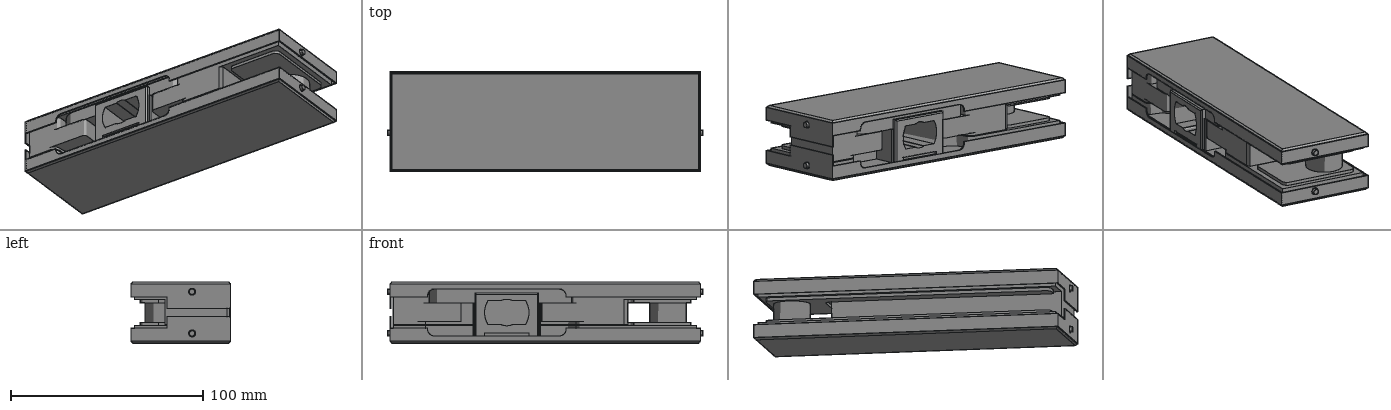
import cadquery as cq

overall_x = 164.2
depth = 52.0
height = 32.0
cover_x = 161.7
half_x = cover_x / 2
half_y = depth / 2
half_z = height / 2

wall = 0.7
cover_chamfer = 1.1
cover_top = cover_chamfer
cover_rim_z = 8.0
end_flap_z = 2.1
end_flap_back_y = 7.2
window_top_z = 12.2
window_left = -61.2
window_right = 10.8
window_radius = 3.5

plate_left = -79.1
plate_right = 78.8
plate_half_y = 24.1
plate_face_z = 6.7
plate_front_y = -plate_half_y
plate_outer_z = half_z - cover_top

block_right = 43.0
block_back_y = 8.2
block_bottom_z = -6.2
block_chamfer_x = 2.0
block_chamfer_y = 1.0

pad_inset = 3.0
pad_left = -75.9
pad_face_z = 5.1
pad_leg_x = 46.0
pad_leg_y = 11.5
pad_outer_radius = 3.1
pad_end_radius = 2.0
pad_inner_radius = 3.0

spacer_diameter = 19.0
spacer_x = 63.9
spacer_y = 9.2

upper_pocket_left = -60.6
upper_pocket_right = 14.0
upper_pocket_back_y = -13.1
upper_pocket_floor_z = 5.1
upper_left_lip_radius = 2.6
upper_right_lip_radius = 2.0
bulge_front_y = -23.5
bulge_left = -60.3
bulge_right = 13.6
bulge_left_radius = 8.2
bulge_right_radius = 5.9

lower_pocket_left = -62.4
lower_pocket_right = 16.1
lower_pocket_floor_z = -12.6
lower_pocket_ceiling_z = -4.8
lower_pocket_back_y = -11.8
lower_corner_radius = 8.2
lower_lip_radius = 3.8

recess_left = -43.8
recess_right = -2.0
recess_lip_radius = 2.0

housing_x = -20.0
housing_width = 35.1
faceplate_width = 33.2
faceplate_top_z = 10.2
faceplate_front_y = -26.0
faceplate_chamfer = 0.7
housing_chamfer = 0.5
keyway_diameter = 23.2
keyway_height = 12.3
keyway_depth = 24.6
keyway_bump_diameter = 13.8
keyway_bump_width = 5.3
sill_notch_width = 23.0
sill_notch_top_z = -10.5
sill_notch_depth = 1.3

screw_diameter = 2.8
screw_clearance_diameter = 3.6
screw_length = 8.2
screw_y = -5.9
screw_z = 10.8


def box(x0, x1, y0, y1, z0, z1):
    """Axis-aligned block between two opposite corners."""
    return cq.Workplane("XY").box(x1 - x0, y1 - y0, z1 - z0, centered=False).translate((x0, y0, z0))


def turned_over(shape):
    """Copy of a shape mirrored through the XY plane."""
    return shape.mirror("XY")


def screw_rod(side, level, diameter):
    """Rod on a screw axis, running inwards from the screw tip; side and level are +1 or -1."""
    tip = cq.Workplane("YZ", origin=(side * overall_x / 2, screw_y, level * screw_z))
    return tip.circle(diameter / 2).extrude(-side * screw_length)


def make_upper_cover():
    """Sheet cover with an end flap, a front window and screw clearance holes."""
    cover = box(-half_x, half_x, -half_y, half_y, cover_rim_z, half_z)
    cover = cover.faces(">Z").edges().chamfer(cover_chamfer)
    cavity = box(-half_x + wall, half_x - wall, -half_y + wall, half_y - wall, 0, plate_outer_z)
    end_flap = box(-half_x, -half_x + wall, -half_y, end_flap_back_y, end_flap_z, cover_rim_z)
    window = (
        cq.Workplane("XZ", origin=(0, -half_y + wall, 0))
        .moveTo(window_left, cover_rim_z)
        .lineTo(window_left, window_top_z - window_radius)
        .radiusArc((window_left + window_radius, window_top_z), window_radius)
        .lineTo(window_right - window_radius, window_top_z)
        .radiusArc((window_right, window_top_z - window_radius), window_radius)
        .lineTo(window_right, cover_rim_z)
        .close()
        .extrude(wall)
    )
    cover = cover.cut(cavity).cut(window).union(end_flap)
    for side in (-1, 1):
        cover = cover.cut(screw_rod(side, 1, screw_clearance_diameter))
    return cover


def make_pad():
    """L-shaped glass pad under the upper plate, with every corner rounded."""
    right = plate_right - pad_inset
    back = plate_half_y - pad_inset
    front = -back
    rear_leg = box(pad_left, right, pad_leg_y, back, pad_face_z, plate_face_z)
    side_leg = box(pad_leg_x, right, front, back, pad_face_z, plate_face_z)
    pad = rear_leg.union(side_leg).clean()
    middle_z = (pad_face_z + plate_face_z) / 2
    corners = [
        (pad_left, back, pad_outer_radius),
        (right, back, pad_outer_radius),
        (right, front, pad_outer_radius),
        (pad_left, pad_leg_y, pad_end_radius),
        (pad_leg_x, front, pad_end_radius),
        (pad_leg_x, pad_leg_y, pad_inner_radius),
    ]
    for x, y, radius in corners:
        corner = cq.selectors.NearestToPointSelector((x, y, middle_z))
        pad = pad.edges("|Z").edges(corner).fillet(radius)
    return pad


def make_plate_with_pad():
    """Upper clamp plate with its glass pad and screw holes."""
    plate = box(plate_left, plate_right, -plate_half_y, plate_half_y, plate_face_z, plate_outer_z)
    plate = plate.union(make_pad())
    for side in (-1, 1):
        plate = plate.cut(screw_rod(side, 1, screw_diameter))
    return plate


def pocket(left, right, back, corner, left_lip, right_lip, z0, z1):
    """Pocket open at the front with flared lips; a corner radius of 0 leaves its back corners sharp."""
    front = plate_front_y
    outline = (
        cq.Workplane("XY", origin=(0, 0, z0))
        .moveTo(left - left_lip, front)
        .radiusArc((left, front + left_lip), -left_lip)
        .lineTo(left, back)
        .lineTo(right, back)
        .lineTo(right, front + right_lip)
        .radiusArc((right + right_lip, front), -right_lip)
        .close()
    )
    shape = outline.extrude(z1 - z0)
    if corner > 0:
        shape = shape.edges("|Z and >Y").fillet(corner)
    return shape


def make_lower_pocket():
    """Pocket under the lock block that continues into the lower plate."""
    return pocket(
        lower_pocket_left, lower_pocket_right, lower_pocket_back_y, lower_corner_radius,
        lower_lip_radius, lower_lip_radius, lower_pocket_floor_z, lower_pocket_ceiling_z,
    )


def make_keyway():
    """Flattened round opening with a shallow bump above and below."""
    start = cq.Workplane("XZ", origin=(housing_x, faceplate_front_y, 0))
    slot = start.circle(keyway_diameter / 2).extrude(-keyway_depth)
    slot = slot.intersect(start.rect(keyway_diameter, keyway_height).extrude(-keyway_depth))
    bump = start.circle(keyway_bump_diameter / 2).extrude(-keyway_depth)
    bump = bump.intersect(start.rect(keyway_bump_width, keyway_bump_diameter).extrude(-keyway_depth))
    return slot.union(bump)


def make_housing():
    """Cylinder housing with its chamfered faceplate."""
    half = housing_width / 2
    housing = box(
        housing_x - half, housing_x + half, plate_front_y, block_back_y,
        lower_pocket_floor_z, upper_pocket_floor_z,
    )
    housing = housing.edges("|Z and <Y").chamfer(housing_chamfer)
    bottom = -window_top_z
    half = faceplate_width / 2
    face = box(housing_x - half, housing_x + half, faceplate_front_y, bulge_front_y, bottom, faceplate_top_z)
    face = face.faces("<Y").edges("|Z or >Z").chamfer(faceplate_chamfer)
    half = sill_notch_width / 2
    notch_back = faceplate_front_y + sill_notch_depth
    notch = box(housing_x - half, housing_x + half, faceplate_front_y, notch_back, bottom, sill_notch_top_z)
    return housing.union(face.cut(notch))


def make_block_corner():
    """Wedge that bevels the front right corner of the lock block."""
    return (
        cq.Workplane("XY", origin=(block_right, plate_front_y, block_bottom_z))
        .lineTo(0, block_chamfer_y)
        .lineTo(-block_chamfer_x, 0)
        .close()
        .extrude(plate_face_z - block_bottom_z)
    )


def make_bulge():
    """Round-cornered wall that fills most of the upper pocket."""
    bulge = box(bulge_left, bulge_right, bulge_front_y, block_back_y, upper_pocket_floor_z, window_top_z)
    bulge = bulge.edges("|Z and <Y and <X").fillet(bulge_left_radius)
    return bulge.edges("|Z and <Y and >X").fillet(bulge_right_radius)


def make_upper_body():
    """Upper plate carrying the lock block, cylinder housing and glass spacer."""
    body = make_plate_with_pad()
    block = box(plate_left, block_right, plate_front_y, block_back_y, block_bottom_z, plate_face_z)
    block = block.cut(make_block_corner())
    body = body.union(block)

    upper_pocket = pocket(
        upper_pocket_left, upper_pocket_right, upper_pocket_back_y, 0,
        upper_left_lip_radius, upper_right_lip_radius, upper_pocket_floor_z, window_top_z,
    )
    bolt_recess = pocket(
        recess_left, recess_right, lower_pocket_back_y, 0,
        recess_lip_radius, recess_lip_radius, block_bottom_z, upper_pocket_floor_z,
    )
    body = body.cut(upper_pocket).union(make_bulge())
    body = body.cut(make_lower_pocket()).cut(bolt_recess)

    spacer = cq.Workplane("XY", origin=(spacer_x, spacer_y, -pad_face_z))
    spacer = spacer.circle(spacer_diameter / 2).extrude(2 * pad_face_z)
    return body.union(make_housing()).union(spacer).cut(make_keyway())


def make_lower_body():
    """Lower plate with a slot around the cylinder housing."""
    body = turned_over(make_plate_with_pad()).cut(make_lower_pocket())
    half = housing_width / 2
    slot = box(
        housing_x - half, housing_x + half, plate_front_y, block_back_y,
        lower_pocket_floor_z, -plate_face_z,
    )
    return body.cut(slot)


upper_cover = make_upper_cover()
lower_cover = turned_over(upper_cover)
upper_body = make_upper_body()
lower_body = make_lower_body()
screws = [screw_rod(side, level, screw_diameter) for side in (-1, 1) for level in (-1, 1)]

result = cq.Compound.makeCompound([
    upper_cover.val(),
    lower_cover.val(),
    upper_body.val(),
    lower_body.val(),
    *[screw.val() for screw in screws],
])